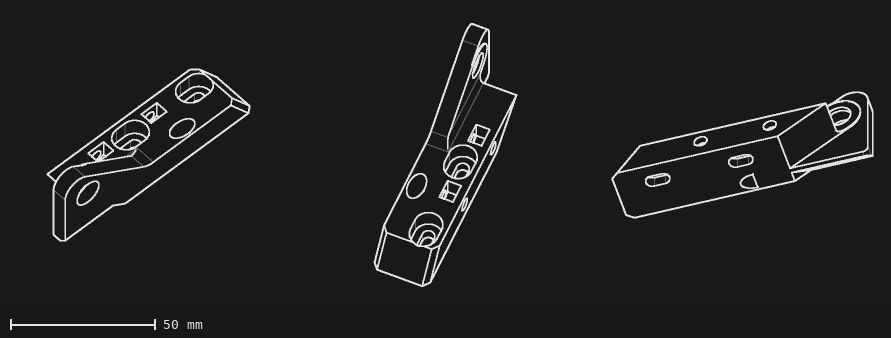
import cadquery as cq
import math

WIDTH = 21.0
LENGTH = 88.5
HEIGHT = 33.5
SLANT = 34.7

BAR_HEIGHT = 12.0
END_CHAMFER = 2.0

PLATE_THICKNESS = 6.0
PLATE_TOP_RADIUS = 6.0
PLATE_BOTTOM_RADIUS = 2.0
PLATE_BEVEL = 4.0
ARM_RAISE = 0.4
ARM_RADIUS = 8.0
ARM_BAR_FILLET = 2.0
SLOPE_FILLET = 8.0
PIVOT_Y = 10.7
PIVOT_DIAMETER = 9.2
PIVOT_LIP = 1.5
PIVOT_RELIEF_DIAMETER = 10.2

SLOT_X = 7.0
SLOT_YS = (43.5, 73.5)
SLOT_TRAVEL = 4.0
SLOT_WIDTH = 4.5
COUNTERBORE_WIDTH = 10.0
COUNTERBORE_DEPTH = 7.5

SCREW_YS = (31.0, 56.0)
SCREW_Z = 6.9
SCREW_DIAMETER = 4.6
SCREW_DEPTH = 12.0
DRILL_POINT_ANGLE = 118.0
NUT_X = 2.9
NUT_THICKNESS = 5.1
NUT_FLATS = 7.2

BORE_X = 17.0
BORE_Y = 58.6
BORE_DIAMETER = 6.0

SIN = math.sin(math.radians(SLANT))
COS = math.cos(math.radians(SLANT))
TAN = SIN / COS
PLATE_X = WIDTH - PLATE_THICKNESS
ARM_X = PLATE_X - ARM_RAISE
PLATE_ROUND_Y = PLATE_TOP_RADIUS
PLATE_ROUND_Z = HEIGHT - PLATE_TOP_RADIUS

PIVOT_Z = PLATE_ROUND_Z - (ARM_RADIUS - PLATE_TOP_RADIUS + SIN * (PIVOT_Y - PLATE_ROUND_Y)) / COS
SLOPE_FOOT_Y = PIVOT_Y + (ARM_RADIUS + COS * (PIVOT_Z - BAR_HEIGHT)) / SIN
UNDERCUT_FOOT_Y = PIVOT_Y + (COS * PIVOT_Z - ARM_RADIUS) / SIN
SLOPE_TANGENT = SLOPE_FILLET * math.tan(math.radians(SLANT / 2))
BAR_TOP_END_Y = LENGTH - BAR_HEIGHT * TAN


def on_round(center_y, center_z, radius, angle):
    """Point (y, z) of a circle, with the angle measured from +Y toward +Z."""
    turn = math.radians(angle)
    return (center_y + radius * math.cos(turn), center_z + radius * math.sin(turn))


def slope_and_bar_top(outline):
    """Continue an outline down the upper slope, along the bar top and down the slanted end."""
    slope_end = (SLOPE_FOOT_Y - SLOPE_TANGENT * COS, BAR_HEIGHT + SLOPE_TANGENT * SIN)
    return (
        outline.lineTo(*slope_end)
        .tangentArcPoint((SLOPE_FOOT_Y + SLOPE_TANGENT, BAR_HEIGHT), relative=False)
        .lineTo(BAR_TOP_END_Y, BAR_HEIGHT)
        .lineTo(LENGTH, 0)
    )


def make_plate():
    """Full-height plate in line with the +X side of the bar, bevelled along its lower outer edge."""
    outline = (
        cq.Workplane("YZ", origin=(PLATE_X, 0, 0))
        .moveTo(PLATE_BOTTOM_RADIUS, 0)
        .radiusArc((0, PLATE_BOTTOM_RADIUS), PLATE_BOTTOM_RADIUS)
        .lineTo(0, PLATE_ROUND_Z)
        .threePointArc(
            on_round(PLATE_ROUND_Y, PLATE_ROUND_Z, PLATE_TOP_RADIUS, 90),
            on_round(PLATE_ROUND_Y, PLATE_ROUND_Z, PLATE_TOP_RADIUS, 90 - SLANT),
        )
    )
    plate = slope_and_bar_top(outline).close().extrude(PLATE_THICKNESS)
    bevel = (
        cq.Workplane("XZ")
        .moveTo(WIDTH - PLATE_BEVEL, 0)
        .lineTo(WIDTH, 0)
        .lineTo(WIDTH, PLATE_BEVEL)
        .close()
        .extrude(-LENGTH)
    )
    return plate.cut(bevel)


def make_bar_and_arm():
    """Full-width L-shaped section along Y, trimmed to the side outline of the arm and bar."""
    section = (
        cq.Workplane("XZ")
        .lineTo(WIDTH, 0)
        .lineTo(WIDTH, HEIGHT)
        .lineTo(ARM_X, HEIGHT)
        .lineTo(ARM_X, BAR_HEIGHT + ARM_BAR_FILLET)
        .radiusArc((ARM_X - ARM_BAR_FILLET, BAR_HEIGHT), ARM_BAR_FILLET)
        .lineTo(0, BAR_HEIGHT)
        .close()
        .extrude(-LENGTH)
    )
    outline = (
        cq.Workplane("YZ")
        .moveTo(UNDERCUT_FOOT_Y, 0)
        .lineTo(*on_round(PIVOT_Y, PIVOT_Z, ARM_RADIUS, 270 - SLANT))
        .threePointArc(
            on_round(PIVOT_Y, PIVOT_Z, ARM_RADIUS, 180 - SLANT),
            on_round(PIVOT_Y, PIVOT_Z, ARM_RADIUS, 90 - SLANT),
        )
    )
    return section.intersect(slope_and_bar_top(outline).close().extrude(WIDTH))


def slot(y, width, bottom, top):
    """Upright slot along Y, its end centres SLOT_TRAVEL apart."""
    return (
        cq.Workplane("XY", origin=(SLOT_X, y, bottom))
        .slot2D(SLOT_TRAVEL + width, width, 90)
        .extrude(top - bottom)
    )


def mounting_slot(y):
    """Through slot with a wide counterbore from the bar top."""
    through = slot(y, SLOT_WIDTH, 0, BAR_HEIGHT)
    counterbore = slot(y, COUNTERBORE_WIDTH, BAR_HEIGHT - COUNTERBORE_DEPTH, BAR_HEIGHT)
    return through.union(counterbore)


def nut_trap(y):
    """Half hexagon with a corner pointing down, open through the bar top."""
    half_flats = NUT_FLATS / 2
    corner_radius = NUT_FLATS / math.sqrt(3)
    return (
        cq.Workplane("YZ", origin=(NUT_X, y, 0))
        .moveTo(0, SCREW_Z - corner_radius)
        .lineTo(half_flats, SCREW_Z - corner_radius / 2)
        .lineTo(half_flats, BAR_HEIGHT)
        .lineTo(-half_flats, BAR_HEIGHT)
        .lineTo(-half_flats, SCREW_Z - corner_radius / 2)
        .close()
        .extrude(NUT_THICKNESS)
    )


def screw_hole(y):
    """Blind hole along X that ends in a drill point."""
    radius = SCREW_DIAMETER / 2
    point_length = radius / math.tan(math.radians(DRILL_POINT_ANGLE / 2))
    return (
        cq.Workplane("XY", origin=(0, y, SCREW_Z))
        .lineTo(0, radius)
        .lineTo(SCREW_DEPTH, radius)
        .lineTo(SCREW_DEPTH + point_length, 0)
        .close()
        .revolve(360, (0, 0, 0), (1, 0, 0))
    )


def angled_bore():
    """Bore that climbs toward +Y, square to the slanted end of the bar."""
    axis = cq.Vector(0, COS, SIN)
    reach = 2 * BAR_HEIGHT / SIN
    start = cq.Vector(BORE_X, BORE_Y, BAR_HEIGHT) - axis * (reach / 2)
    return cq.Workplane(obj=cq.Solid.makeCylinder(BORE_DIAMETER / 2, reach, start, axis))


def pivot_hole():
    """Through hole that widens behind a lip on the arm face."""

    def bore(start_x, diameter):
        return (
            cq.Workplane("YZ", origin=(start_x, PIVOT_Y, PIVOT_Z))
            .circle(diameter / 2)
            .extrude(WIDTH - start_x)
        )

    return bore(ARM_X, PIVOT_DIAMETER).union(bore(ARM_X + PIVOT_LIP, PIVOT_RELIEF_DIAMETER))


body = make_plate().union(make_bar_and_arm())
end_face_sides = body.faces(">Y").edges(cq.selectors.ParallelDirSelector(cq.Vector(0, SIN, -COS)))
body = end_face_sides.chamfer(END_CHAMFER)

for slot_y in SLOT_YS:
    body = body.cut(mounting_slot(slot_y))
for screw_y in SCREW_YS:
    body = body.cut(nut_trap(screw_y)).cut(screw_hole(screw_y))

result = body.cut(angled_bore()).cut(pivot_hole())